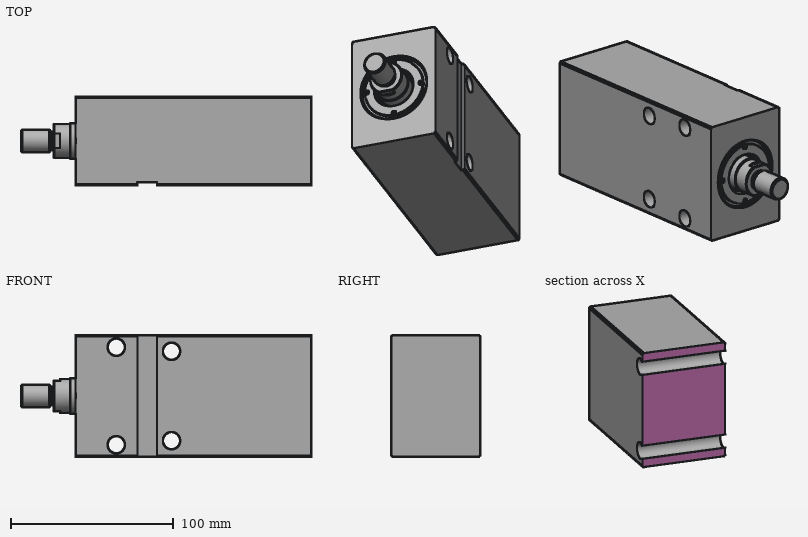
import cadquery as cq
import math


housing_length = 145.0
housing_width = 55.0
housing_height = 75.0
edge_chamfer = 1.0

keyway_start = 38.0
keyway_width = 12.0
keyway_depth = 2.0

mounting_hole_diameter = 10.5
mounting_hole_pairs = [(25.0, 60.0), (59.0, 55.0)]

gland_diameter = 42.4
gland_length = 20.0
bore_mouth_chamfer = 0.8
gland_face_diameter = 38.0
gland_step_depth = 2.0
wrench_hole_count = 4
wrench_hole_diameter = 2.8
wrench_hole_circle = 35.6
wrench_hole_depth = 2.0
drill_point_angle = 118.0
wiper_mouth_diameter = 26.0
wiper_mouth_depth = 2.0
wiper_recess_diameter = 23.4
wiper_recess_depth = 4.0

rod_diameter = 22.0
rod_nose_diameter = 21.0
rod_shoulder_reach = 3.5
rod_reach = 13.5
rod_step_chamfer = 0.3
rod_end_chamfer = 0.4
flat_length = 4.0
across_flats = 19.0

stud_reach = 33.5
stud_diameter = 14.0
stud_chamfer = 0.8
stud_neck_diameter = 11.4
stud_neck_length = 2.0
stud_neck_flare = 0.6


def cylinder_along_x(diameter, start, end):
    return cq.Workplane("YZ").workplane(offset=start).circle(diameter / 2).extrude(end - start)


def cone_along_x(start_diameter, end_diameter, start, end):
    cone = cq.Solid.makeCone(
        start_diameter / 2,
        end_diameter / 2,
        end - start,
        pnt=cq.Vector(start, 0, 0),
        dir=cq.Vector(1, 0, 0),
    )
    return cq.Workplane(cone)


def make_housing():
    block = cq.Workplane("XY").box(
        housing_length, housing_width, housing_height, centered=(False, True, True)
    )
    block = block.edges("|X").chamfer(edge_chamfer)

    keyway = cq.Workplane("XY").box(
        keyway_width, keyway_depth, housing_height, centered=(False, False, True)
    )
    block = block.cut(keyway.translate((keyway_start, -housing_width / 2, 0)))

    for hole_x, spacing in mounting_hole_pairs:
        holes = (
            cq.Workplane("XZ", origin=(hole_x, housing_width / 2, 0))
            .pushPoints([(0, -spacing / 2), (0, spacing / 2)])
            .circle(mounting_hole_diameter / 2)
            .extrude(housing_width)
        )
        block = block.cut(holes)

    block = block.cut(cylinder_along_x(gland_diameter, 0, gland_length))
    bore_mouth = block.faces("<X").edges("%CIRCLE")
    return bore_mouth.chamfer(bore_mouth_chamfer)


def make_gland():
    gland = cylinder_along_x(gland_diameter, gland_step_depth, gland_length)
    gland = gland.union(cylinder_along_x(gland_face_diameter, 0, gland_step_depth))

    hole_radius = wrench_hole_diameter / 2
    cone_depth = hole_radius / math.tan(math.radians(drill_point_angle / 2))
    for index in range(wrench_hole_count):
        hole_profile = [
            (0, 0),
            (0, hole_radius),
            (wrench_hole_depth, hole_radius),
            (wrench_hole_depth + cone_depth, 0),
        ]
        hole = (
            cq.Workplane("XY")
            .polyline(hole_profile)
            .close()
            .revolve(360, (0, 0, 0), (1, 0, 0))
            .translate((0, wrench_hole_circle / 2, 0))
        )
        angle = index * 360 / wrench_hole_count
        gland = gland.cut(hole.rotate((0, 0, 0), (1, 0, 0), angle))

    gland = gland.cut(cylinder_along_x(rod_diameter, 0, gland_length))
    gland = gland.cut(cylinder_along_x(wiper_recess_diameter, 0, wiper_recess_depth))
    return gland.cut(cone_along_x(wiper_mouth_diameter, wiper_recess_diameter, 0, wiper_mouth_depth))


def make_rod():
    shaft = cylinder_along_x(rod_diameter, -rod_shoulder_reach, gland_length)
    shaft = shaft.faces("<X").chamfer(rod_step_chamfer)
    nose = cylinder_along_x(rod_nose_diameter, -rod_reach, -rod_shoulder_reach)

    flat_zone = cylinder_along_x(rod_nose_diameter, -rod_reach, -rod_reach + flat_length)
    flat_core = cq.Workplane("XY").box(2 * rod_reach, rod_nose_diameter, across_flats)
    nose = nose.cut(flat_zone.cut(flat_core))
    nose = nose.faces("<X").chamfer(rod_end_chamfer)
    return shaft.union(nose)


def make_stud():
    neck_start = -rod_reach - stud_neck_length
    stud = cylinder_along_x(stud_diameter, -stud_reach, neck_start)
    stud = stud.faces("<X or >X").chamfer(stud_chamfer)
    neck = cylinder_along_x(stud_neck_diameter, neck_start, -rod_reach)
    flare = cone_along_x(
        stud_neck_diameter, stud_neck_diameter + 2 * stud_neck_flare, -rod_reach - stud_neck_flare, -rod_reach
    )
    return stud.union(neck).union(flare)


housing = make_housing()
gland = make_gland()
rod = make_rod()
stud = make_stud()

bodies = [housing, gland, rod, stud]
result = cq.Compound.makeCompound([body.solids().val() for body in bodies])